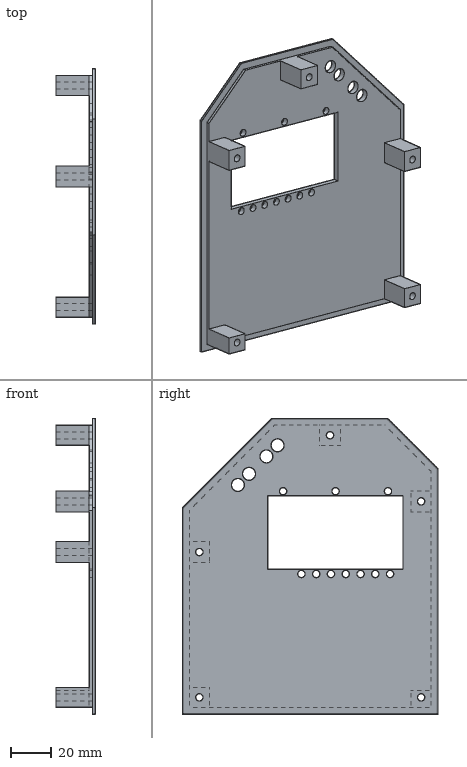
import cadquery as cq
import math

TOTAL_DEPTH = 19.6
PAD_WIDTH = 120.0
PAD_HEIGHT = 140.0
PAD_THICKNESS = 1.6
FLANGE_MARGIN = 3.4
FLANGE_THICKNESS = 1.6
FLANGE_EDGE_RADIUS = 0.5
SMALL_CORNER_CUT = 23.0
LARGE_CORNER_CUT = 42.3

BOSS_DEPTH = 10.0
BOSS_WIDTH = 10.5
SHORT_BOSS_WIDTH = 8.5
SCREW_INSET = 5.0
SCREW_DIAMETER = 3.5
TOP_BOSS_ACROSS = 50.2
LEFT_BOSS_UP = 102.2
RIGHT_BOSS_UP = 77.1

WINDOW_WIDTH = 67.0
WINDOW_HEIGHT = 36.3
WINDOW_ACROSS = 14.0
WINDOW_UP = 68.6

PIN_DIAMETER = 3.5
UPPER_PIN_COUNT = 3
UPPER_PIN_PITCH = 26.0
UPPER_PIN_START = (21.45, 107.25)
LOWER_PIN_COUNT = 7
LOWER_PIN_PITCH = 7.33
LOWER_PIN_START = (20.4, 66.2)

LARGE_HOLE_DIAMETER = 6.3
HOLE_PAIR_SPACING = 7.8
PAIR_SPACING = 20.0
LARGE_HOLE_EDGE_DISTANCE = 8.1
LARGE_HOLE_ROW_SHIFT = 10.0

FLANGE_BACK_X = TOTAL_DEPTH - FLANGE_THICKNESS
PAD_BACK_X = FLANGE_BACK_X - PAD_THICKNESS


def place(across, up):
    """Turn an (across, up) place into (y, z), with the panel centred on the origin."""
    return PAD_WIDTH / 2 - across, up - PAD_HEIGHT / 2


def panel_plate(margin, start_x, thickness):
    """Plate with two cut upper corners, grown by the margin on every side."""
    cut_growth = margin * (2 - math.sqrt(2))
    small_cut = SMALL_CORNER_CUT + cut_growth
    large_cut = LARGE_CORNER_CUT + cut_growth
    left, right = -margin, PAD_WIDTH + margin
    bottom, top = -margin, PAD_HEIGHT + margin
    corners = [
        (left, bottom),
        (right, bottom),
        (right, top - large_cut),
        (right - large_cut, top),
        (left + small_cut, top),
        (left, top - small_cut),
    ]
    outline = [place(across, up) for across, up in corners]
    return cq.Workplane("YZ", origin=(start_x, 0, 0)).polyline(outline).close().extrude(thickness)


def boss(left, bottom, width, height):
    """Rectangular boss reaching from X = 0 to the pad."""
    center = place(left + width / 2, bottom + height / 2)
    return cq.Workplane("YZ").center(*center).rect(width, height).extrude(PAD_BACK_X)


def round_holes(places, diameter):
    """Cutters for round holes through the full depth."""
    centers = [place(across, up) for across, up in places]
    return cq.Workplane("YZ").pushPoints(centers).circle(diameter / 2).extrude(TOTAL_DEPTH)


def row(start, count, pitch):
    """Places of a level row of holes."""
    return [(start[0] + i * pitch, start[1]) for i in range(count)]


def large_hole_places():
    """Two pairs of holes in a row parallel to the large cut corner."""
    slope = math.sqrt(0.5)
    row_across = PAD_WIDTH - LARGE_CORNER_CUT / 2 - LARGE_HOLE_EDGE_DISTANCE * slope
    row_up = PAD_HEIGHT - LARGE_CORNER_CUT / 2 - LARGE_HOLE_EDGE_DISTANCE * slope
    places = []
    for pair in (-1, 1):
        for hole in (-1, 1):
            along = (pair * PAIR_SPACING + hole * HOLE_PAIR_SPACING) / 2 - LARGE_HOLE_ROW_SHIFT
            places.append((row_across + along * slope, row_up - along * slope))
    return places


flange = panel_plate(FLANGE_MARGIN, FLANGE_BACK_X, FLANGE_THICKNESS)
flange = flange.faces(">X").fillet(FLANGE_EDGE_RADIUS)
body = flange.union(panel_plate(0, PAD_BACK_X, PAD_THICKNESS))

right_boss_left = PAD_WIDTH - BOSS_DEPTH
boss_boxes = [
    (0, 0, BOSS_DEPTH, SHORT_BOSS_WIDTH),
    (right_boss_left, 0, BOSS_DEPTH, BOSS_DEPTH),
    (0, LEFT_BOSS_UP - BOSS_WIDTH / 2, BOSS_DEPTH, BOSS_WIDTH),
    (right_boss_left, RIGHT_BOSS_UP - BOSS_WIDTH / 2, BOSS_DEPTH, BOSS_WIDTH),
    (TOP_BOSS_ACROSS - BOSS_WIDTH / 2, PAD_HEIGHT - BOSS_DEPTH, BOSS_WIDTH, BOSS_DEPTH),
]
for box in boss_boxes:
    body = body.union(boss(*box))

screw_places = [
    (SCREW_INSET, SCREW_INSET),
    (PAD_WIDTH - SCREW_INSET, SCREW_INSET),
    (SCREW_INSET, LEFT_BOSS_UP),
    (PAD_WIDTH - SCREW_INSET, RIGHT_BOSS_UP),
    (TOP_BOSS_ACROSS, PAD_HEIGHT - SCREW_INSET),
]
body = body.cut(round_holes(screw_places, SCREW_DIAMETER))

window_center = place(WINDOW_ACROSS + WINDOW_WIDTH / 2, WINDOW_UP + WINDOW_HEIGHT / 2)
window = cq.Workplane("YZ").center(*window_center).rect(WINDOW_WIDTH, WINDOW_HEIGHT).extrude(TOTAL_DEPTH)
body = body.cut(window)

pin_places = row(UPPER_PIN_START, UPPER_PIN_COUNT, UPPER_PIN_PITCH)
pin_places += row(LOWER_PIN_START, LOWER_PIN_COUNT, LOWER_PIN_PITCH)
body = body.cut(round_holes(pin_places, PIN_DIAMETER))

body = body.cut(round_holes(large_hole_places(), LARGE_HOLE_DIAMETER))

result = body